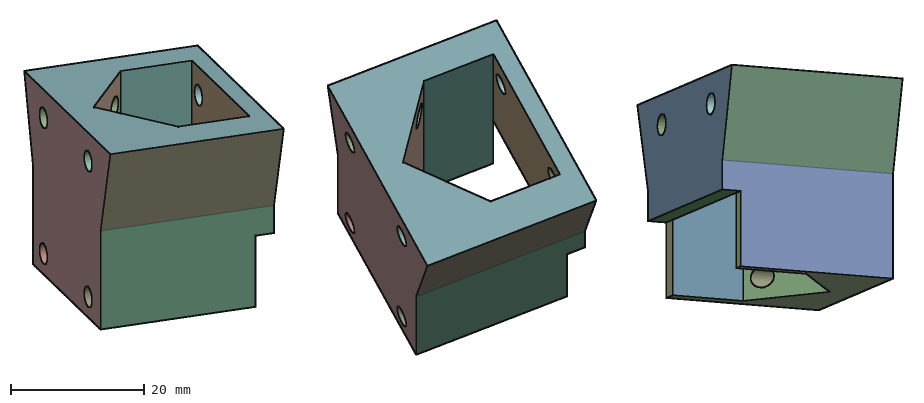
import cadquery as cq

width = 35.72
depth = 28.0
height = 30.0

left_inset = 3.6
right_inset = 4.05
flare_start = 16.07

back_wall = 3.0
cavity_width = 23.83
cavity_center = 17.25
cavity_left = cavity_center - cavity_width / 2
cavity_right = cavity_center + cavity_width / 2
cavity_back = depth - back_wall
cavity_shoulder = 13.5
cavity_tip = 4.5

back_wall_bottom = 11.55

hole_diameter = 3.2
hole_spacing = 18.5
hole_heights = (3.35, 25.4)


def flared_block():
    outline = [
        (left_inset, 0),
        (width - right_inset, 0),
        (width - right_inset, flare_start),
        (width, height),
        (0, height),
        (left_inset, flare_start),
    ]
    return cq.Workplane("XZ").polyline(outline).close().extrude(-depth)


def cavity():
    outline = [
        (cavity_center, cavity_tip),
        (cavity_right, cavity_shoulder),
        (cavity_right, cavity_back),
        (cavity_left, cavity_back),
        (cavity_left, cavity_shoulder),
    ]
    return cq.Workplane("XY").polyline(outline).close().extrude(height)


def back_step():
    return (
        cq.Workplane("XY")
        .box(width, back_wall, back_wall_bottom, centered=False)
        .translate((0, cavity_back, 0))
    )


def screw_holes():
    centers = [
        (cavity_center + side * hole_spacing / 2, z)
        for side in (-1, 1)
        for z in hole_heights
    ]
    return cq.Workplane("XZ").pushPoints(centers).circle(hole_diameter / 2).extrude(-depth)


result = flared_block().cut(cavity()).cut(back_step()).cut(screw_holes())